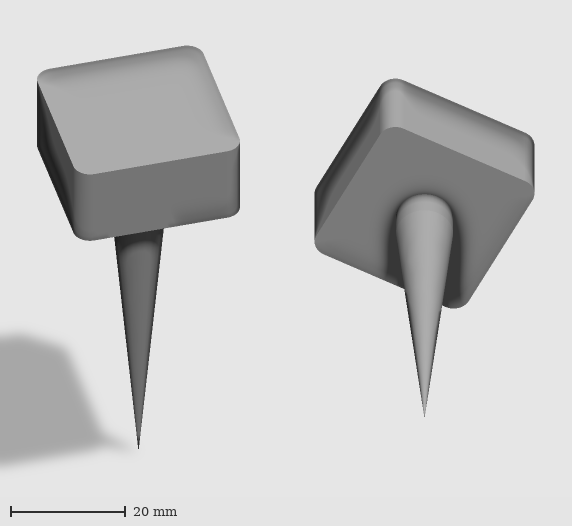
import cadquery as cq
import math

head_width = 30.0
head_height = 15.0
head_corner_radius = 3.0

shank_radius = 5.0
shank_length = 5.0
spike_half_angle = 5.0
spike_length = shank_radius / math.tan(math.radians(spike_half_angle))

shank_bottom = -shank_length
spike_tip = shank_bottom - spike_length


def make_head():
    """Square block standing on Z = 0, with its four vertical edges rounded."""
    block = cq.Workplane("XY").rect(head_width, head_width).extrude(head_height)
    return block.edges("|Z").fillet(head_corner_radius)


def make_stake():
    """Shank and pointed spike, revolved about Z from one half-profile."""
    half_profile = (
        cq.Workplane("XZ")
        .moveTo(0, 0)
        .lineTo(shank_radius, 0)
        .lineTo(shank_radius, shank_bottom)
        .lineTo(0, spike_tip)
        .close()
    )
    return half_profile.revolve(360, (0, 0, 0), (0, 1, 0))


result = make_head().union(make_stake())